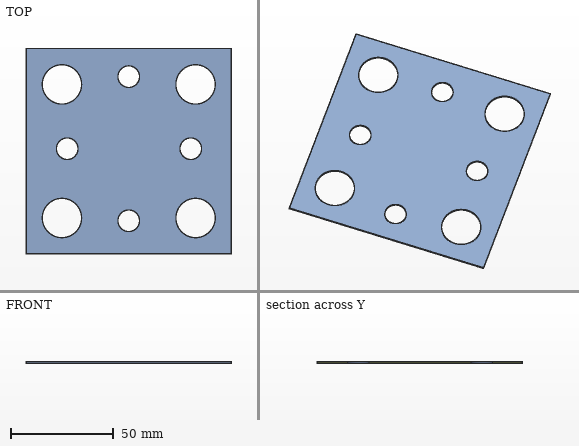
import cadquery as cq

plate_side = 100.0
plate_thickness = 1.0

corner_hole_diameter = 19.05
corner_hole_spacing = 65.03

small_hole_diameter = 10.41
x_pair_spacing = 60.13
x_pair_offset = 0.13
y_pair_spacing = 70.13
pairs_offset_y = 1.21


def make_plate():
    return cq.Workplane("XY").box(
        plate_side, plate_side, plate_thickness, centered=(True, True, False)
    )


def drill(plate, centers, diameter):
    """Cut a through hole of the given diameter at each (x, y) centre."""
    drills = (
        cq.Workplane("XY")
        .pushPoints(centers)
        .circle(diameter / 2)
        .extrude(plate_thickness)
    )
    return plate.cut(drills)


def corner_hole_centers():
    reach = corner_hole_spacing / 2
    return [(x, y) for x in (-reach, reach) for y in (-reach, reach)]


def small_hole_centers():
    centers = []
    for side in (-1, 1):
        centers.append((x_pair_offset + side * x_pair_spacing / 2, pairs_offset_y))
        centers.append((0, pairs_offset_y + side * y_pair_spacing / 2))
    return centers


result = make_plate()
result = drill(result, corner_hole_centers(), corner_hole_diameter)
result = drill(result, small_hole_centers(), small_hole_diameter)